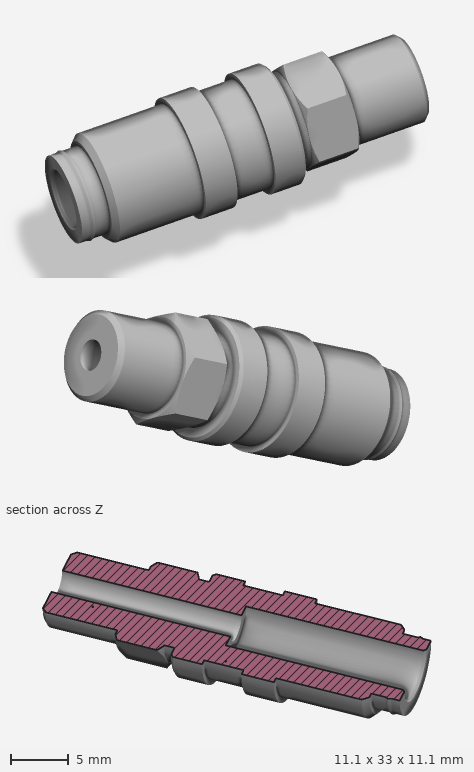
import cadquery as cq
import math

LENGTH = 33.0
RETAINER_START = 0.8
RETAINER_END = 1.3
SLEEVE_START = 2.6
FRONT_BAND_START = 11.02
FRONT_BAND_END = 14.02
REAR_BAND_START = 17.62
SLEEVE_END = 20.6
HEX_START = 21.5
HEX_END = 26.0

TIP_RADIUS = 4.03
RETAINER_RADIUS = 4.15
COLLAR_RADIUS = 4.42
SLEEVE_RADIUS = 5.0
BAND_RADIUS = 5.55

ACROSS_FLATS = 9.0
HEX_CHAMFER_ANGLE = 30.0

SOCKET_RADIUS = 2.57
SOCKET_DEPTH = 16.5
SOCKET_CHAMFER = 0.23
THROUGH_RADIUS = 1.4
TIP_CHAMFER = 0.43
SLEEVE_CHAMFER = 0.53
BAND_CHAMFER = 0.25


def cylinder(radius, start, end):
    """Cylinder on the Y axis between two axial stations."""
    plane = cq.Workplane("XZ", origin=(0, start, 0))
    return plane.circle(radius).extrude(start - end)


def make_hexagon():
    """Hexagon with corners on the X axis and conical chamfers at both ends."""
    flat_radius = ACROSS_FLATS / 2
    corner_radius = flat_radius / math.cos(math.pi / 6)
    chamfer_length = (corner_radius - flat_radius) * math.tan(math.radians(HEX_CHAMFER_ANGLE))
    prism = (
        cq.Workplane("XZ", origin=(0, HEX_START, 0))
        .polygon(6, 2 * corner_radius)
        .extrude(HEX_START - HEX_END)
    )
    chamfer_envelope = (
        cq.Workplane("XY")
        .polyline([
            (0, HEX_START),
            (flat_radius, HEX_START),
            (corner_radius, HEX_START + chamfer_length),
            (corner_radius, HEX_END - chamfer_length),
            (flat_radius, HEX_END),
            (0, HEX_END),
        ])
        .close()
        .revolve(360, (0, 0, 0), (0, 1, 0))
    )
    return prism.intersect(chamfer_envelope)


def make_retainer():
    """Retaining ring with a ridged outer edge."""
    middle = (RETAINER_START + RETAINER_END) / 2
    return (
        cq.Workplane("XY")
        .moveTo(0, RETAINER_START)
        .lineTo(TIP_RADIUS, RETAINER_START)
        .lineTo(RETAINER_RADIUS, middle)
        .lineTo(TIP_RADIUS, RETAINER_END)
        .lineTo(0, RETAINER_END)
        .close()
        .revolve(360, (0, 0, 0), (0, 1, 0))
    )


sleeve = cylinder(SLEEVE_RADIUS, SLEEVE_START, SLEEVE_END).faces("<Y").chamfer(SLEEVE_CHAMFER)
front_band = cylinder(BAND_RADIUS, FRONT_BAND_START, FRONT_BAND_END)
rear_band = cylinder(BAND_RADIUS, REAR_BAND_START, SLEEVE_END).faces(">Y").chamfer(BAND_CHAMFER)

core = cylinder(TIP_RADIUS, 0, LENGTH).faces(">Y").chamfer(TIP_CHAMFER)
collar = cylinder(COLLAR_RADIUS, SLEEVE_END, HEX_START)

body = core
for section in (make_retainer(), sleeve, front_band, rear_band, collar, make_hexagon()):
    body = body.union(section)

socket = cylinder(SOCKET_RADIUS, 0, SOCKET_DEPTH)
mouth = (
    cq.Workplane("XZ")
    .circle(SOCKET_RADIUS + SOCKET_CHAMFER)
    .extrude(-SOCKET_CHAMFER, taper=45)
)
through_hole = cylinder(THROUGH_RADIUS, 0, LENGTH)

result = body.cut(socket).cut(mouth).cut(through_hole)